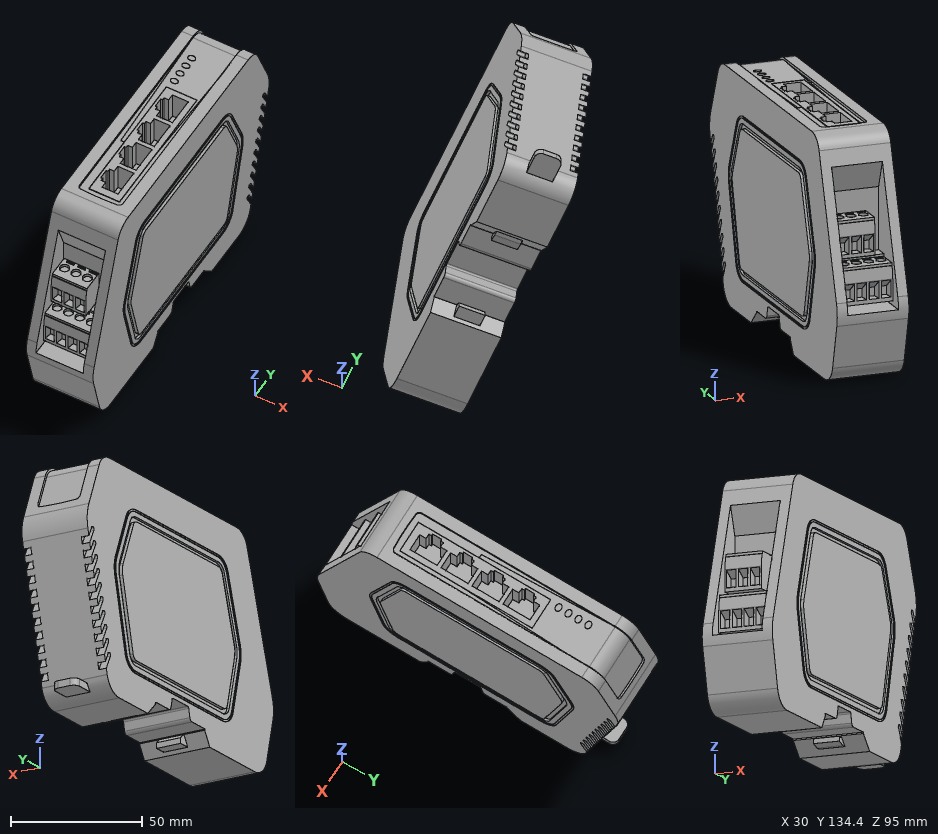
import cadquery as cq
import math

BODY_WIDTH = 29.3
BODY_HEIGHT = 95.0
REAR_TIP = (68.0, 67.0)
FRONT_TIP = (-67.9, 29.3)
TOP_RADIUS = 8.1
TIP_RADIUS = 16.1
BOTTOM_RADIUS = 9.0

REAR_UPPER_LEAN = 22.5
REAR_LOWER_LEAN = 14.2
FRONT_UPPER_LEAN = 18.2
FRONT_LOWER_LEAN = 13.9

OVERALL_WIDTH = 30.0
PANEL_RISE = (OVERALL_WIDTH - BODY_WIDTH) / 2
PANEL_BOTTOM = 18.5
PANEL_TOP = 74.8
PANEL_REAR_TIP = (42.8, 52.7)
PANEL_FRONT_TIP = (-39.1, 44.4)
PANEL_CORNER_RADIUS = 2.7
PANEL_TIP_RADIUS = 7.7
MOAT_WIDTH = 2.0
MOAT_DEPTH = 1.1
RING_INNER_OFFSET = 4.2
RING_OUTER_OFFSET = 5.0
RING_DEPTH = 0.3

VENT_COUNT = 10
VENT_FIRST = (63.2, 62.5)
VENT_DROP = 5.2
VENT_WIDTH = 1.7
VENT_LENGTH = 16.1
VENT_LEAN = 27.0
VENT_DEPTH = 3.4

NOTCH_TOP = 6.3
NOTCH_SIDE_TOP = 5.8
NOTCH_REAR_MOUTH = 23.5
NOTCH_REAR = 17.6
NOTCH_FRONT = -17.5
NOTCH_FRONT_MOUTH = -21.1
NOTCH_UNDERCUT = 0.3
RELIEF_TOP = 11.7
RELIEF_FOOT_WIDTH = 14.1
RELIEF_CROWN_WIDTH = 11.7
RELIEF_ROOT_RADIUS = 1.6
RELIEF_CROWN_RADIUS = 0.8

LATCH_WIDTH = 10.8
LATCH_END = 60.4
LATCH_TIP = 16.0
LATCH_BOTTOM = 2.3
LATCH_TOP = 5.2
LATCH_TIP_RISE = 1.1
LATCH_TIP_RUN = 3.4
LATCH_END_RADIUS = 2.7
HOOK_TIP = -15.0
HOOK_ROOT = -21.5
HOOK_BOTTOM = 1.5
HOOK_TOP = 5.8
HOOK_SLOPE = 2.0

LABEL_WIDTH = 19.0
LABEL_DEPTH = 1.0
LABEL_FLOOR = BODY_HEIGHT - LABEL_DEPTH
LABEL_FRONT = -37.4
LABEL_CORNER = 1.7
LABEL_BOW = 0.4
LABEL_SLOPE_LENGTH = 21.5
SHEET_STEP = 0.1
SHEET_REAR = 48.4
SHEET_FRONT = -7.5
SHEET_FRONT_WIDTH = 15.0

JACK_BLOCK_X = (-5.9, 7.5)
JACK_BLOCK_Y = (-34.7, 24.5)
JACK_COUNT = 4
JACK_PITCH = 13.9
JACK_FIRST_Y = 16.0
JACK_RIGHT = 5.1
JACK_STEPS = ((-1.9, 12.1), (-3.9, 6.5), (-4.7, 4.0))
JACK_DEPTH = 12.1

LAMP_COUNT = 4
LAMP_X = -4.8
LAMP_FIRST_Y = 42.0
LAMP_PITCH = 4.5
LAMP_RADII = (1.6, 1.2)
LAMP_DEPTH = 0.1

BAY_WIDTH = 20.7
BAY_TOP = 83.0
BAY_CEILING_INNER = 71.8
BAY_FLOOR = 28.8
BAY_BACK = -46.3
BAY_LEDGE = 46.7
PLUG_STEP_Y = 5.6
PLUG_STEP_Z = 17.1
PLUG_LEFT = -10.1
PLUG_PITCH = 5.0
PLUG_MARGIN = 0.1
PLUG_HEIGHT = 14.9
UPPER_PLUG_TOP = 62.8
UPPER_PLUG_FRONT = -55.3
PLUG_LIP_DROP = 1.1
PLUG_LIP = 0.3
PLUG_FACE_DROP = 6.2
PLUG_FACE_LEAN = 0.7
SCREW_RADIUS = 1.9
SCREW_SETBACK = 4.8
SCREW_DEPTH = 1.3
WIRE_MOUTH = (3.9, 6.9)
WIRE_END = (2.3, 3.5)
WIRE_SILL = 1.6
WIRE_RISE = 0.4
WIRE_DEPTH = 2.7
KEY_SIZE = (3.2, 0.5, 0.4)
KEY_SHIFT = 0.5
KEY_SETBACK = 3.4

HALF = BODY_WIDTH / 2


def lean(angle):
    return math.tan(math.radians(angle))


def rounded_outline(corners, plane):
    """Closed outline from (y, z, radius) corners, each rounded by a tangent arc."""
    path = None
    for i, (y, z, radius) in enumerate(corners):
        here = cq.Vector(y, z)
        back = (cq.Vector(*corners[i - 1][:2]) - here).normalized()
        ahead = (cq.Vector(*corners[(i + 1) % len(corners)][:2]) - here).normalized()
        half_angle = back.getAngle(ahead) / 2
        start = here + back * (radius / math.tan(half_angle))
        end = here + ahead * (radius / math.tan(half_angle))
        middle = here + (back + ahead).normalized() * (radius / math.sin(half_angle) - radius)
        path = path.lineTo(start.x, start.y) if path else plane.moveTo(start.x, start.y)
        path = path.threePointArc((middle.x, middle.y), (end.x, end.y))
    return path.close()


def six_sided(plane, bottom, top, rear_tip, front_tip, top_radius, tip_radius, bottom_radius):
    rear_y, rear_z = rear_tip
    front_y, front_z = front_tip
    return rounded_outline([
        (rear_y - (top - rear_z) * lean(REAR_UPPER_LEAN), top, top_radius),
        (rear_y, rear_z, tip_radius),
        (rear_y - (rear_z - bottom) * lean(REAR_LOWER_LEAN), bottom, bottom_radius),
        (front_y + (front_z - bottom) * lean(FRONT_LOWER_LEAN), bottom, bottom_radius),
        (front_y, front_z, tip_radius),
        (front_y + (top - front_z) * lean(FRONT_UPPER_LEAN), top, top_radius),
    ], plane)


def body_outline(x):
    return six_sided(cq.Workplane("YZ", origin=(x, 0, 0)), 0, BODY_HEIGHT, REAR_TIP, FRONT_TIP,
                     TOP_RADIUS, TIP_RADIUS, BOTTOM_RADIUS)


def panel_prism(offset, x, depth):
    """Side panel outline grown by an offset, extruded from x towards +X."""
    outline = six_sided(cq.Workplane("YZ", origin=(x, 0, 0)), PANEL_BOTTOM, PANEL_TOP,
                        PANEL_REAR_TIP, PANEL_FRONT_TIP,
                        PANEL_CORNER_RADIUS, PANEL_TIP_RADIUS, PANEL_CORNER_RADIUS)
    if offset:
        outline = outline.offset2D(offset)
    return outline.extrude(depth)


def box(x_range, y_range, z_range):
    size = [high - low for low, high in (x_range, y_range, z_range)]
    corner = (x_range[0], y_range[0], z_range[0])
    return cq.Workplane("XY").box(*size, centered=False).translate(corner)


def both_sides(left):
    return left.union(left.mirror("YZ"))


def yz_prism(points, width):
    return cq.Workplane("YZ").polyline(points).close().extrude(width / 2, both=True)


def side_grooves():
    moat = panel_prism(MOAT_WIDTH, -HALF, MOAT_DEPTH).cut(panel_prism(0, -HALF, MOAT_DEPTH))
    ring = panel_prism(RING_OUTER_OFFSET, -HALF, RING_DEPTH)
    ring = ring.cut(panel_prism(RING_INNER_OFFSET, -HALF, RING_DEPTH))
    return both_sides(moat.union(ring))


def side_panels():
    return both_sides(panel_prism(0, -HALF - PANEL_RISE, PANEL_RISE + MOAT_DEPTH))


def vents():
    slots = cq.Workplane("YZ")
    cap_to_middle = (VENT_LENGTH - VENT_WIDTH) / 2
    angle = math.radians(VENT_LEAN)
    for i in range(VENT_COUNT):
        cap_y = VENT_FIRST[0] - i * VENT_DROP * lean(REAR_LOWER_LEAN)
        cap_z = VENT_FIRST[1] - i * VENT_DROP
        middle = (-HALF, cap_y + cap_to_middle * math.sin(angle), cap_z - cap_to_middle * math.cos(angle))
        slot = cq.Workplane("YZ", origin=middle).slot2D(VENT_LENGTH, VENT_WIDTH, 90 + VENT_LEAN)
        slots = slots.union(slot.extrude(VENT_DEPTH))
    return both_sides(slots)


def rail_notch():
    mouth = yz_prism([(NOTCH_REAR_MOUTH, 0), (NOTCH_REAR, NOTCH_SIDE_TOP), (NOTCH_REAR, NOTCH_TOP),
                      (NOTCH_FRONT - NOTCH_UNDERCUT, NOTCH_TOP), (NOTCH_FRONT, NOTCH_SIDE_TOP),
                      (NOTCH_FRONT_MOUTH, 0)], BODY_WIDTH)
    foot = RELIEF_FOOT_WIDTH / 2
    crown = RELIEF_CROWN_WIDTH / 2
    relief = yz_prism([(foot, NOTCH_TOP), (crown, RELIEF_TOP), (-crown, RELIEF_TOP), (-foot, NOTCH_TOP)],
                      BODY_WIDTH)
    relief = relief.edges("|X and >Z").fillet(RELIEF_CROWN_RADIUS)
    notch = mouth.union(relief)
    roots = cq.selectors.BoxSelector((-HALF, -RELIEF_FOOT_WIDTH, NOTCH_SIDE_TOP),
                                     (HALF, RELIEF_FOOT_WIDTH, RELIEF_TOP - RELIEF_CROWN_RADIUS * 2))
    return notch.edges("|X").edges(roots).fillet(RELIEF_ROOT_RADIUS)


def rail_latch():
    """Release bar at the rear, with a clipped tip reaching into the notch."""
    bar = yz_prism([(LATCH_END, LATCH_BOTTOM), (LATCH_END, LATCH_TOP), (LATCH_TIP, LATCH_TOP),
                    (LATCH_TIP, LATCH_BOTTOM + LATCH_TIP_RISE),
                    (LATCH_TIP + LATCH_TIP_RUN, LATCH_BOTTOM)], LATCH_WIDTH)
    return bar.edges("|Z and >Y").fillet(LATCH_END_RADIUS)


def rail_hook():
    """Fixed hook at the front of the notch, rooted inside the housing."""
    return yz_prism([(HOOK_TIP, HOOK_BOTTOM), (HOOK_TIP, HOOK_TOP - HOOK_SLOPE),
                     (HOOK_TIP - HOOK_SLOPE, HOOK_TOP), (HOOK_ROOT, HOOK_TOP),
                     (HOOK_ROOT, HOOK_BOTTOM)], LATCH_WIDTH)


def label_plate(plane, end, start, half_thickness):
    """Strip running from start to a slightly bowed end with rounded corners."""
    half_width = LABEL_WIDTH / 2
    outward = math.copysign(1, end - start)
    plate = (
        plane.moveTo(-half_width, start)
        .lineTo(-half_width, end - outward * LABEL_BOW)
        .threePointArc((0, end), (half_width, end - outward * LABEL_BOW))
        .lineTo(half_width, start)
        .close()
        .extrude(half_thickness, both=True)
    )
    upright = cq.selectors.ParallelDirSelector(plane.plane.zDir)
    end_corners = cq.selectors.DirectionMinMaxSelector(plane.plane.yDir * outward, True)
    return plate.edges(upright).edges(end_corners).fillet(LABEL_CORNER)


def label_recess():
    skin = body_outline(-HALF).extrude(BODY_WIDTH)
    skin = skin.cut(body_outline(-HALF).offset2D(-LABEL_DEPTH).extrude(BODY_WIDTH))
    corner_y = REAR_TIP[0] - (BODY_HEIGHT - REAR_TIP[1]) * lean(REAR_UPPER_LEAN)
    angle = math.radians(REAR_UPPER_LEAN)
    top_plane = cq.Workplane("XY", origin=(0, 0, BODY_HEIGHT))
    slope_plane = cq.Workplane(cq.Plane((0, corner_y, BODY_HEIGHT), (1, 0, 0),
                                        (0, math.cos(angle), math.sin(angle))))
    top_strip = label_plate(top_plane, LABEL_FRONT, corner_y, TOP_RADIUS)
    slope_strip = label_plate(slope_plane, LABEL_SLOPE_LENGTH, -TOP_RADIUS, TOP_RADIUS)
    return skin.intersect(top_strip.union(slope_strip))


def label_margin():
    """Shallow step in the label floor, leaving a raised sheet that tapers towards the front."""
    floor = cq.Workplane("XY", origin=(0, 0, LABEL_FLOOR))
    sheet = (
        floor
        .polyline([(-LABEL_WIDTH / 2, SHEET_REAR), (LABEL_WIDTH / 2, SHEET_REAR),
                   (SHEET_FRONT_WIDTH / 2, SHEET_FRONT), (-SHEET_FRONT_WIDTH / 2, SHEET_FRONT)])
        .close()
        .extrude(-SHEET_STEP)
    )
    return label_plate(floor, LABEL_FRONT, SHEET_REAR, SHEET_STEP).cut(sheet)


def jack_block():
    return box(JACK_BLOCK_X, JACK_BLOCK_Y, (LABEL_FLOOR - JACK_DEPTH, LABEL_FLOOR + SHEET_STEP))


def jack_openings():
    openings = cq.Workplane("XY")
    z_range = (LABEL_FLOOR - JACK_DEPTH, BODY_HEIGHT)
    for i in range(JACK_COUNT):
        y = JACK_FIRST_Y - i * JACK_PITCH
        for left, width in JACK_STEPS:
            openings = openings.union(box((left, JACK_RIGHT), (y - width / 2, y + width / 2), z_range))
    return openings


def lamps():
    centres = [(LAMP_X, LAMP_FIRST_Y - i * LAMP_PITCH) for i in range(LAMP_COUNT)]
    floor = cq.Workplane("XY", origin=(0, 0, LABEL_FLOOR))
    return floor.pushPoints(centres).ellipse(*LAMP_RADII).extrude(-LAMP_DEPTH)


def terminal_bay():
    ceiling_y = FRONT_TIP[0] + (BAY_TOP - FRONT_TIP[1]) * lean(FRONT_UPPER_LEAN)
    outside = 2 * FRONT_TIP[0] - ceiling_y
    lower_back = BAY_BACK - PLUG_STEP_Y
    return yz_prism([(ceiling_y, BAY_TOP), (BAY_BACK, BAY_CEILING_INNER), (BAY_BACK, BAY_LEDGE),
                     (lower_back, BAY_LEDGE), (lower_back, BAY_FLOOR), (outside, BAY_FLOOR),
                     (outside, BAY_TOP)], BAY_WIDTH)


def plug(poles, top, front, back):
    """Pluggable terminal block with a screw hole, a key slot and a wire funnel for each pole."""
    bottom = top - PLUG_HEIGHT
    lip = front - PLUG_LIP
    face = lip - PLUG_FACE_LEAN
    block = (
        cq.Workplane("YZ", origin=(PLUG_LEFT, 0, 0))
        .polyline([(back, top), (front, top), (front, top - PLUG_LIP_DROP), (lip, top - PLUG_LIP_DROP),
                   (face, top - PLUG_FACE_DROP), (face, bottom), (back, bottom)])
        .close()
        .extrude(poles * PLUG_PITCH + 2 * PLUG_MARGIN)
    )
    mouth_z = bottom + WIRE_SILL + WIRE_MOUTH[1] / 2
    end_shift = WIRE_RISE + (WIRE_END[1] - WIRE_MOUTH[1]) / 2
    for i in range(poles):
        x = PLUG_LEFT + PLUG_MARGIN + (i + 0.5) * PLUG_PITCH
        screw = cq.Workplane("XY", origin=(x, front + SCREW_SETBACK, top)).circle(SCREW_RADIUS)
        key = cq.Workplane("XY").box(*KEY_SIZE, centered=(True, True, False))
        key = key.translate((x + KEY_SHIFT, front + SCREW_SETBACK + KEY_SETBACK, top - KEY_SIZE[2]))
        funnel = (
            cq.Workplane("XZ", origin=(x, face, mouth_z))
            .rect(*WIRE_MOUTH)
            .workplane(offset=-WIRE_DEPTH)
            .center(0, end_shift)
            .rect(*WIRE_END)
            .loft()
        )
        block = block.cut(screw.extrude(-SCREW_DEPTH)).cut(key).cut(funnel)
    return block


result = (
    body_outline(-HALF).extrude(BODY_WIDTH)
    .cut(side_grooves())
    .union(side_panels())
    .cut(vents())
    .cut(rail_notch())
    .union(rail_latch())
    .union(rail_hook())
    .cut(label_recess())
    .cut(label_margin())
    .cut(lamps())
    .union(jack_block())
    .cut(jack_openings())
    .cut(terminal_bay())
    .union(plug(3, UPPER_PLUG_TOP, UPPER_PLUG_FRONT, BAY_BACK))
    .union(plug(4, UPPER_PLUG_TOP - PLUG_STEP_Z, UPPER_PLUG_FRONT - PLUG_STEP_Y, BAY_BACK - PLUG_STEP_Y))
)